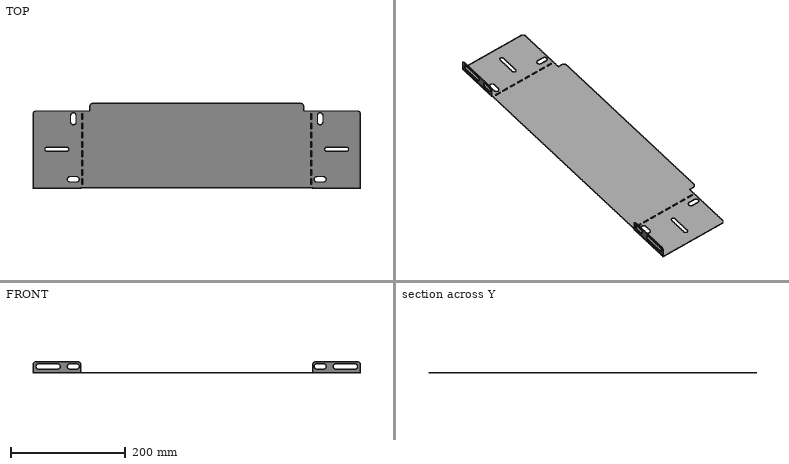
import cadquery as cq

length = 574.0
width = 150.0
flange_height = 20.0
thickness = 1.0
half_length = length / 2

tab_depth = 14.0
tab_half_length = 187.5
tab_corner_radius = 6.5
plate_corner_radius = 5.0
wing_width = width - tab_depth

flange_length = 84.0
flange_x = half_length - flange_length / 2
flange_corner_radius = 5.0

slot_width = 9.0
short_slot_length = 20.5
short_slot_x = 216.5
rear_slot_y = 122.0
front_slot_y = 16.0
middle_slot_x = 245.0
middle_slot_y = 69.0
middle_slot_length = 42.0
middle_slot_width = 7.0
flange_slot_x = 260.5
flange_slot_z = 11.5
flange_slot_length = 42.5

slit_count = 8
slit_length = 10.0
slit_width = 1.45
slit_x = 201.0
first_slit_y = 12.0
last_slit_y = 126.0
slit_pitch = (last_slit_y - first_slit_y) / (slit_count - 1)


def make_plate():
    """Flat plate with the rear tab, set back from the flange face between the flanges."""
    wings = (
        cq.Workplane("XY")
        .box(length, wing_width - thickness, thickness, centered=(True, False, False))
        .translate((0, thickness, 0))
        .edges("|Z and >Y")
        .fillet(plate_corner_radius)
    )
    centre_panel = (
        cq.Workplane("XY")
        .box(2 * tab_half_length, width - thickness, thickness, centered=(True, False, False))
        .translate((0, thickness, 0))
        .edges("|Z and >Y")
        .fillet(tab_corner_radius)
    )
    return wings.union(centre_panel)


def make_flange(side):
    """Upright flange on the wing at the given side (-1 or 1)."""
    return (
        cq.Workplane("XY")
        .box(flange_length, thickness, flange_height, centered=(True, False, False))
        .edges("|Y and >Z")
        .fillet(flange_corner_radius)
        .translate((side * flange_x, 0, 0))
    )


def plate_slot(x, y, slot_length, slot_breadth, angle=0):
    """Cutter for a round-ended slot through the plate."""
    return (
        cq.Workplane("XY")
        .center(x, y)
        .slot2D(slot_length, slot_breadth, angle)
        .extrude(thickness)
    )


def flange_slot(x, slot_length):
    """Cutter for a round-ended slot through a flange."""
    return (
        cq.Workplane("XZ")
        .center(x, flange_slot_z)
        .slot2D(slot_length, slot_width)
        .extrude(-thickness)
    )


def slit_row(x):
    """Cutter for the row of slits along Y."""
    slit_centres = [(x, first_slit_y + i * slit_pitch) for i in range(slit_count)]
    return (
        cq.Workplane("XY")
        .pushPoints(slit_centres)
        .rect(slit_width, slit_length)
        .extrude(thickness)
    )


result = make_plate()
for side in (-1, 1):
    result = result.union(make_flange(side))
    result = result.cut(plate_slot(side * short_slot_x, rear_slot_y, short_slot_length, slot_width, 90))
    result = result.cut(plate_slot(side * short_slot_x, front_slot_y, short_slot_length, slot_width))
    result = result.cut(plate_slot(side * middle_slot_x, middle_slot_y, middle_slot_length, middle_slot_width))
    result = result.cut(flange_slot(side * short_slot_x, short_slot_length))
    result = result.cut(flange_slot(side * flange_slot_x, flange_slot_length))
    result = result.cut(slit_row(side * slit_x))